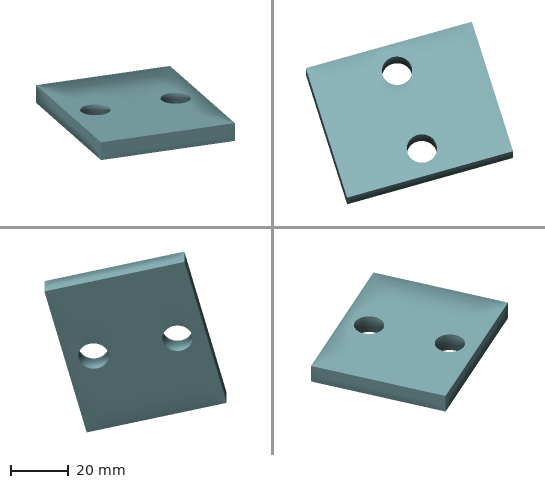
import cadquery as cq

length = 60.0
width = 50.0
thickness = 6.6

hole_diameter = 10.5
hole_spacing = 30.0

plate = cq.Workplane("XY").box(length, width, thickness)

result = (
    plate.faces(">Z")
    .workplane()
    .rarray(0.6, hole_spacing, 1, 2)
    .hole(hole_diameter)
)